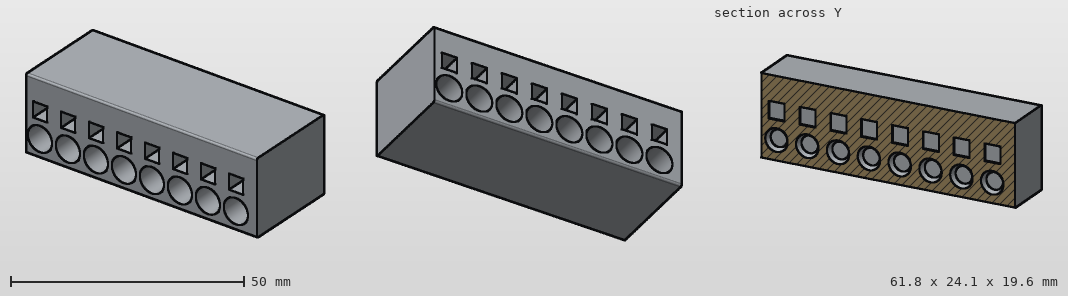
import cadquery as cq

length = 61.8
depth = 24.15
height = 19.6
edge_radius = 0.5

terminal_count = 8
entry_span = 52.45
pitch = entry_span / (terminal_count - 1)
first_entry_x = -length / 2 + 3.7

entry_z = -height / 2 + 4.75
entry_mouth_diameter = 6.5
entry_floor_diameter = 4.0
entry_bore_depth = 11.1
entry_cone_depth = 2.1

pocket_offset_x = 0.05
pocket_z = -height / 2 + 11.45
pocket_width = 3.8
pocket_height = 3.95
pocket_depth = 12.35

front_y = -depth / 2


def wire_entry(x):
    """Straight bore that ends in a cone narrowing to a flat floor."""
    mouth_radius = entry_mouth_diameter / 2
    floor_radius = entry_floor_diameter / 2
    profile = (
        cq.Workplane("XY")
        .lineTo(mouth_radius, 0)
        .lineTo(mouth_radius, entry_bore_depth)
        .lineTo(floor_radius, entry_bore_depth + entry_cone_depth)
        .lineTo(0, entry_bore_depth + entry_cone_depth)
        .close()
    )
    return profile.revolve(360, (0, 0), (0, 1)).translate((x, front_y, entry_z))


def release_pocket(x):
    """Straight rectangular pocket."""
    center = (x, front_y + pocket_depth / 2, pocket_z)
    return cq.Workplane("XY").box(pocket_width, pocket_depth, pocket_height).translate(center)


result = cq.Workplane("XY").box(length, depth, height).edges("|X").fillet(edge_radius)

for index in range(terminal_count):
    entry_x = first_entry_x + index * pitch
    result = result.cut(wire_entry(entry_x))
    result = result.cut(release_pocket(entry_x + pocket_offset_x))